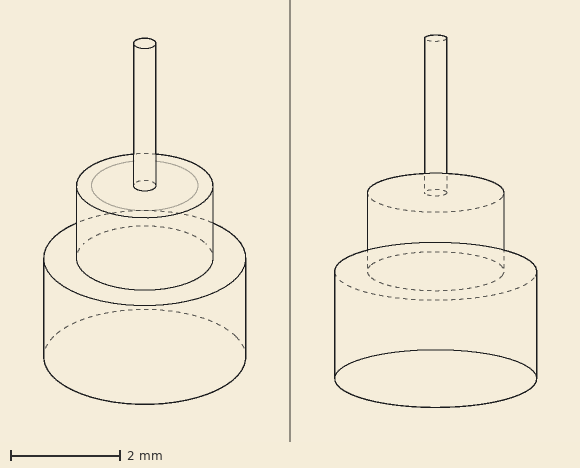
import cadquery as cq

base_diameter = 3.7
base_height = 2.05
collar_diameter = 2.5
collar_height = 1.5
insulator_diameter = 1.95
pin_diameter = 0.41
overall_height = 6.5

collar_top = base_height + collar_height
pin_length = overall_height - collar_top


def cylinder(diameter, height, bottom):
    """Solid cylinder on the Z axis, standing on the given level."""
    return cq.Workplane("XY").workplane(offset=bottom).circle(diameter / 2).extrude(height)


def make_shell():
    """Stepped outer body, with the collar bored out for the insulator."""
    base = cylinder(base_diameter, base_height, 0)
    collar = cylinder(collar_diameter, collar_height, base_height)
    bore = cylinder(insulator_diameter, collar_height, base_height)
    return base.union(collar).cut(bore)


def make_insulator():
    """Plug that fills the collar flush with its rim."""
    return cylinder(insulator_diameter, collar_height, base_height)


def make_pin():
    """Thin contact pin rising from the insulator."""
    return cylinder(pin_diameter, pin_length, collar_top)


result = make_shell().union(make_insulator(), clean=False).union(make_pin(), clean=False)